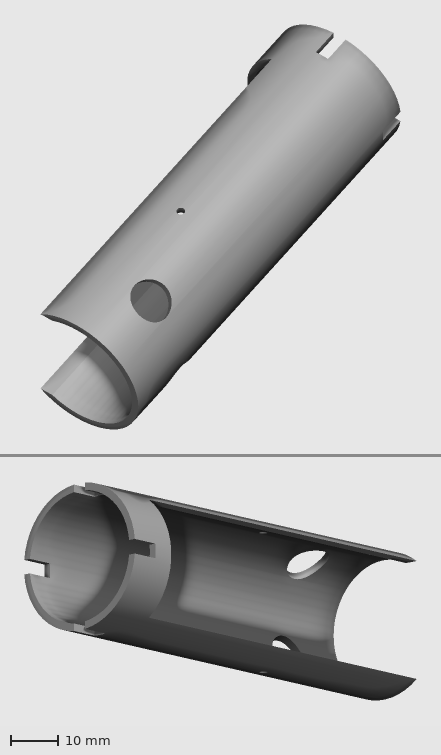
import cadquery as cq
import math

length = 95.3
outer_diameter = 31.7
wall = 1.6
outer_radius = outer_diameter / 2
inner_radius = outer_radius - wall

ring_length = 11.3
opening_height = 25.4

notch_width = 3.1
notch_depth = 6.4
notch_count = 4

pin_hole_diameter = 1.8
pin_hole_y = 37.6
pin_hole_angles = (90, 270)
side_hole_diameter = 9.5
side_hole_y = 16.0
side_hole_angles = (60, 330)


def make_tube():
    profile = cq.Workplane("XZ").circle(outer_radius).circle(inner_radius)
    return profile.extrude(-length)


def make_side_opening():
    """Block with flat top and bottom that removes the -X side of the tube up to the ring."""
    block = cq.Workplane("XY").box(
        outer_radius, length - ring_length, opening_height, centered=(False, False, True)
    )
    return block.translate((-outer_radius, 0, 0))


def make_notch(angle):
    notch = cq.Workplane("XY").box(
        outer_diameter, notch_depth, notch_width, centered=(False, False, True)
    )
    notch = notch.translate((0, length - notch_depth, 0))
    return notch.rotate((0, 0, 0), (0, 1, 0), -angle)


def make_radial_hole(diameter, y, angle):
    """Cylinder from the tube axis outward through one wall."""
    direction = cq.Vector(math.cos(math.radians(angle)), 0, math.sin(math.radians(angle)))
    start = cq.Vector(0, y, 0)
    return cq.Workplane(cq.Solid.makeCylinder(diameter / 2, outer_diameter, start, direction))


result = make_tube().cut(make_side_opening())

for index in range(notch_count):
    result = result.cut(make_notch(index * 360 / notch_count))

for angle in pin_hole_angles:
    result = result.cut(make_radial_hole(pin_hole_diameter, pin_hole_y, angle))

for angle in side_hole_angles:
    result = result.cut(make_radial_hole(side_hole_diameter, side_hole_y, angle))